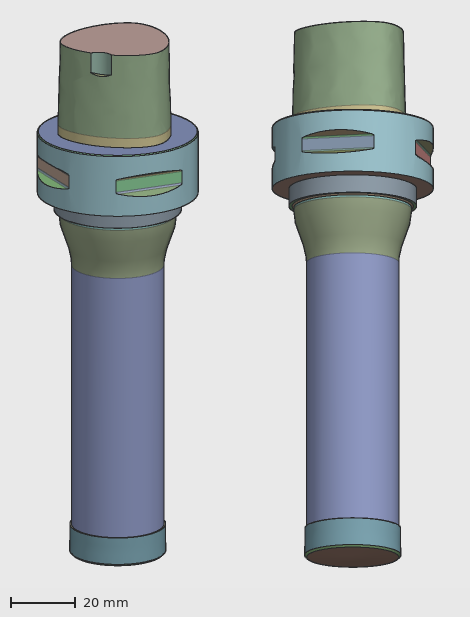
import cadquery as cq
import math

SHANK_TOP = 29.7
TAPER_BASE = 3.0
SHANK_TOP_RADIUS = 16.9
SHANK_BASE_RADIUS = 17.5
LOBE_HEIGHT = 1.2
OUTLINE_POINTS = 36

KEYWAY_RADIUS = 4.2
KEYWAY_Y = -18.0
KEYWAY_DEPTH = 5.8
KEYWAY_FLOOR_SAG = 1.3

FLANGE_DIAMETER = 50.0
FLANGE_BOTTOM = -19.7
FLANGE_CHAMFER = 0.3
COLLAR_DIAMETER = 39.5
COLLAR_BOTTOM = -25.2

GROOVE_COUNT = 4
GROOVE_START_ANGLE = 45
GROOVE_Z = -10.1
GROOVE_FLOOR_DISTANCE = 22.2
GROOVE_FLOOR_WIDTH = 4.5
GROOVE_MOUTH_WIDTH = 7.3
GROOVE_CORNER_RADIUS = 0.7

NECK_DIAMETER = 36.5
NECK_CHAMFER = 0.5
CONE_TOP = -26.4
CONE_BOTTOM = -43.3
SHAFT_DIAMETER = 28.7

CAP_TOP = -127.5
CAP_TOP_DIAMETER = 29.7
CAP_BOTTOM_DIAMETER = 29.9
CAP_CHAMFER = 0.7
CAP_POINT_HEIGHT = 0.7
OVERALL_LENGTH = 167.0
CAP_TIP = SHANK_TOP - OVERALL_LENGTH


def lobed_outline(z, mean_radius):
    """Closed constant-width curve with three lobes, one of them on +Y."""
    points = []
    for i in range(OUTLINE_POINTS):
        angle = 2 * math.pi * i / OUTLINE_POINTS
        lobe_phase = 3 * (angle - math.pi / 2)
        outward = mean_radius + LOBE_HEIGHT * math.cos(lobe_phase)
        sideways = -3 * LOBE_HEIGHT * math.sin(lobe_phase)
        x = outward * math.cos(angle) - sideways * math.sin(angle)
        y = outward * math.sin(angle) + sideways * math.cos(angle)
        points.append(cq.Vector(x, y, z))
    return cq.Wire.assembleEdges([cq.Edge.makeSpline(points, periodic=True)])


def make_shank():
    base = lobed_outline(0, SHANK_BASE_RADIUS)
    straight = cq.Solid.extrudeLinear(base, [], cq.Vector(0, 0, TAPER_BASE))
    taper = cq.Solid.makeLoft([
        lobed_outline(TAPER_BASE, SHANK_BASE_RADIUS),
        lobed_outline(SHANK_TOP, SHANK_TOP_RADIUS),
    ])
    return cq.Workplane(straight).union(cq.Workplane(taper), clean=False)


def make_keyway():
    """Pocket with a round back wall and an arched bottom, open at the shank's top face."""
    floor_edge = SHANK_TOP - KEYWAY_DEPTH
    round_cutter = (
        cq.Workplane("XY", origin=(0, KEYWAY_Y, floor_edge - KEYWAY_FLOOR_SAG))
        .circle(KEYWAY_RADIUS)
        .extrude(KEYWAY_DEPTH + KEYWAY_FLOOR_SAG)
    )
    arched_slot = (
        cq.Workplane("XZ")
        .moveTo(-KEYWAY_RADIUS, SHANK_TOP)
        .lineTo(-KEYWAY_RADIUS, floor_edge)
        .threePointArc((0, floor_edge - KEYWAY_FLOOR_SAG), (KEYWAY_RADIUS, floor_edge))
        .lineTo(KEYWAY_RADIUS, SHANK_TOP)
        .close()
        .extrude(FLANGE_DIAMETER)
    )
    return round_cutter.intersect(arched_slot)


def make_turned_body():
    """Flange, collar, conical neck and shaft down to the end cap."""
    flange_radius = FLANGE_DIAMETER / 2
    collar_radius = COLLAR_DIAMETER / 2
    neck_radius = NECK_DIAMETER / 2
    shaft_radius = SHAFT_DIAMETER / 2
    above_cone = [
        (0, 0),
        (flange_radius - FLANGE_CHAMFER, 0),
        (flange_radius, -FLANGE_CHAMFER),
        (flange_radius, FLANGE_BOTTOM),
        (collar_radius, FLANGE_BOTTOM),
        (collar_radius, COLLAR_BOTTOM),
        (neck_radius + NECK_CHAMFER, COLLAR_BOTTOM),
        (neck_radius, COLLAR_BOTTOM - NECK_CHAMFER),
        (neck_radius, CONE_TOP),
    ]
    downward = (0, -1)
    return (
        cq.Workplane("XZ")
        .polyline(above_cone)
        .spline([(shaft_radius, CONE_BOTTOM)], tangents=[downward, downward], includeCurrent=True)
        .lineTo(shaft_radius, CAP_TOP)
        .lineTo(0, CAP_TOP)
        .close()
        .revolve(360, (0, 0, 0), (0, 1, 0))
    )


def make_groove():
    """Straight cutter with sloped walls, its floor facing +X."""
    flange_radius = FLANGE_DIAMETER / 2
    half_floor = GROOVE_FLOOR_WIDTH / 2
    half_mouth = GROOVE_MOUTH_WIDTH / 2
    profile = [
        (GROOVE_FLOOR_DISTANCE, GROOVE_Z - half_floor),
        (flange_radius, GROOVE_Z - half_mouth),
        (flange_radius, GROOVE_Z + half_mouth),
        (GROOVE_FLOOR_DISTANCE, GROOVE_Z + half_floor),
    ]
    cutter = cq.Workplane("XZ").polyline(profile).close().extrude(flange_radius, both=True)
    return cutter.faces("<X").edges("|Y").fillet(GROOVE_CORNER_RADIUS)


def make_holder():
    holder = make_turned_body()
    for i in range(GROOVE_COUNT):
        angle = GROOVE_START_ANGLE + i * 360 / GROOVE_COUNT
        holder = holder.cut(make_groove().rotate((0, 0, 0), (0, 0, 1), angle))
    return holder.union(make_shank(), clean=False).cut(make_keyway(), clean=False)


def make_end_cap():
    bottom_radius = CAP_BOTTOM_DIAMETER / 2
    rim = CAP_TIP + CAP_POINT_HEIGHT
    profile = [
        (0, CAP_TOP),
        (CAP_TOP_DIAMETER / 2, CAP_TOP),
        (bottom_radius, rim + CAP_CHAMFER),
        (bottom_radius - CAP_CHAMFER, rim),
        (0, CAP_TIP),
    ]
    return cq.Workplane("XZ").polyline(profile).close().revolve(360, (0, 0, 0), (0, 1, 0))


holder = make_holder()
end_cap = make_end_cap()
result = cq.Compound.makeCompound([holder.solids().val(), end_cap.val()])